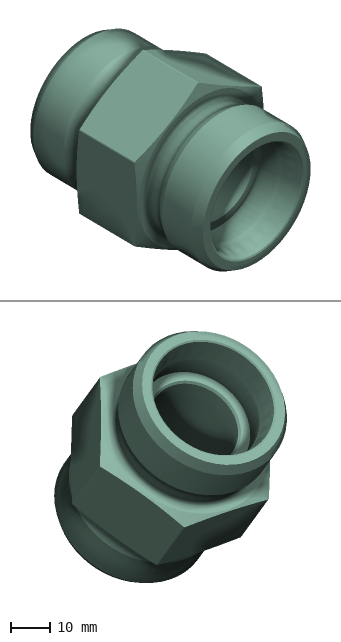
import cadquery as cq
import math

length = 62.0
hex_across_flats = 46.0
hex_corner_diameter = 52.95
hex_width = 21.95
hex_face_diameter = 45.0
hex_bevel_angle = 15.0

end_diameter = 42.0
groove_diameter = 38.9
slope_angle = 30.0
end_land_length = 10.55
groove_fillet = 1.0

bore_diameter = 24.0
bore_chamfer = 0.55
socket_diameter = 30.2
socket_depth = 13.5
mouth_diameter = 33.05
mouth_edge_diameter = 33.9
mouth_edge_depth = 0.25
cone_half_angle = 12.0

hex_start = (length - hex_width) / 2


def run_for_rise(rise, angle):
    """Axial length of a slope that climbs `rise` at `angle` to the axis."""
    return rise / math.tan(math.radians(angle))


def make_end():
    """Solid end at X = 0 with its chamfer and relief groove."""
    end_radius = end_diameter / 2
    groove_radius = groove_diameter / 2
    slope = run_for_rise(end_radius - groove_radius, slope_angle)
    land_end = slope + end_land_length
    groove_start = land_end + slope

    tangent = groove_fillet * math.tan(math.radians(slope_angle / 2))
    slope_rad = math.radians(slope_angle)
    center_x = groove_start + tangent
    center_r = groove_radius + groove_fillet
    slope_tangent = (
        groove_start - tangent * math.cos(slope_rad),
        groove_radius + tangent * math.sin(slope_rad),
    )
    arc_middle = (
        center_x - groove_fillet * math.sin(slope_rad / 2),
        center_r - groove_fillet * math.cos(slope_rad / 2),
    )

    corner_offset = groove_fillet * math.sqrt(0.5)
    face_arc_middle = (
        hex_start - groove_fillet + corner_offset,
        center_r - corner_offset,
    )
    profile = (
        cq.Workplane("XY")
        .lineTo(0, groove_radius)
        .lineTo(slope, end_radius)
        .lineTo(land_end, end_radius)
        .lineTo(*slope_tangent)
        .threePointArc(arc_middle, (center_x, groove_radius))
        .lineTo(hex_start - groove_fillet, groove_radius)
        .threePointArc(face_arc_middle, (hex_start, center_r))
        .lineTo(length / 2, center_r)
        .lineTo(length / 2, 0)
        .close()
    )
    return profile.revolve(360, (0, 0), (1, 0))


def make_hexagon():
    """Central hexagon, corners up and down, with turned bevels on both faces."""
    circumscribed = hex_across_flats / math.cos(math.radians(30))
    prism = (
        cq.Workplane("YZ", origin=(hex_start, 0, 0))
        .transformed(rotate=(0, 0, 90))
        .polygon(6, circumscribed)
        .extrude(hex_width)
    )
    face_radius = hex_face_diameter / 2
    corner_radius = hex_corner_diameter / 2
    bevel = (corner_radius - face_radius) * math.tan(math.radians(hex_bevel_angle))
    hex_end = hex_start + hex_width
    turned = (
        cq.Workplane("XY")
        .moveTo(hex_start, 0)
        .lineTo(hex_start, face_radius)
        .lineTo(hex_start + bevel, corner_radius)
        .lineTo(hex_end - bevel, corner_radius)
        .lineTo(hex_end, face_radius)
        .lineTo(hex_end, 0)
        .close()
        .revolve(360, (0, 0), (1, 0))
    )
    return prism.intersect(turned)


def make_socket():
    """Half of the hollow: edge break, cone, tube seat and chamfered bore."""
    socket_radius = socket_diameter / 2
    mouth_radius = mouth_diameter / 2
    bore_radius = bore_diameter / 2
    cone_length = run_for_rise(mouth_radius - socket_radius, cone_half_angle)
    profile = (
        cq.Workplane("XY")
        .lineTo(0, mouth_edge_diameter / 2)
        .lineTo(mouth_edge_depth, mouth_radius)
        .lineTo(mouth_edge_depth + cone_length, socket_radius)
        .lineTo(socket_depth, socket_radius)
        .lineTo(socket_depth, bore_radius + bore_chamfer)
        .lineTo(socket_depth + bore_chamfer, bore_radius)
        .lineTo(length / 2, bore_radius)
        .lineTo(length / 2, 0)
        .close()
    )
    return profile.revolve(360, (0, 0), (1, 0))


def with_mirror(half):
    """Join a half with its mirror image about the middle of the length."""
    return half.union(half.mirror("YZ", (length / 2, 0, 0)))


body = with_mirror(make_end()).union(make_hexagon())
hollow = with_mirror(make_socket())
result = body.cut(hollow).translate((-length / 2, 0, 0))